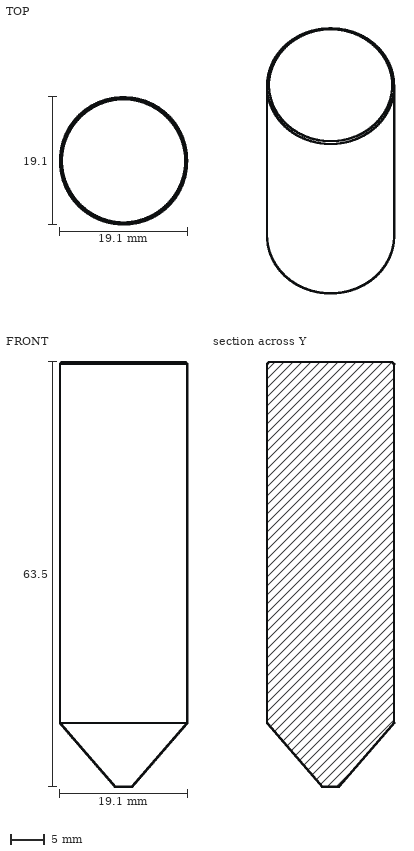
import cadquery as cq

length = 63.5
diameter = 19.05

tip_height = 9.5
tip_flat_diameter = 2.55

chamfer_size = 0.3

radius = diameter / 2
tip_flat_radius = tip_flat_diameter / 2

profile = (
    cq.Workplane("XZ")
    .moveTo(0, 0)
    .lineTo(tip_flat_radius, 0)
    .lineTo(radius, tip_height)
    .lineTo(radius, length)
    .lineTo(0, length)
    .close()
)
pin = profile.revolve(360, (0, 0, 0), (0, 1, 0))

result = pin.faces(">Z").edges().chamfer(chamfer_size)